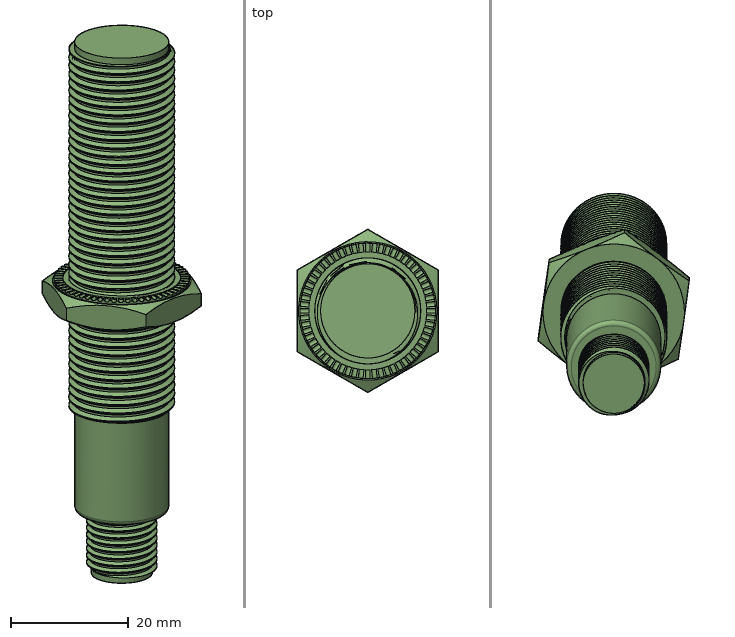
import cadquery as cq
import math

total_height = 96.2
end_tip_height = 1.2
connector_thread_top = 11.4
body_thread_bottom = 30.1
body_thread_top = total_height - end_tip_height

sleeve_diameter = 16.0
sleeve_fillet = 0.8
body_thread_diameter = 18.0
body_thread_pitch = 1.5
body_crest_height_at_x = 93.9

connector_tip_diameter = 10.4
connector_thread_diameter = 12.0
connector_thread_pitch = 1.25
connector_crest_height_at_x = 11.15

crest_fraction = 1 / 8
root_fraction = 1 / 4
flank_half_angle = 30.0
root_overlap = 0.1

nut_bottom = 48.4
nut_hex_height = 4.5
nut_across_flats = 24.0
nut_top_chamfer_diameter = 23.5
nut_bottom_chamfer_diameter = nut_across_flats
nut_chamfer_angle = 30.0
collar_height = 0.6
collar_diameter = 23.0
serration_count = 60
serration_inner_diameter = 20.0
serration_width = 0.8
serration_depth = 0.3


def cylinder(diameter, bottom, top):
    return cq.Workplane("XY").workplane(offset=bottom).circle(diameter / 2).extrude(top - bottom)


def threaded_rod(diameter, pitch, crest_height_at_x, bottom, top):
    """Right-handed thread on its root cylinder, with flat ends at the heights bottom and top."""
    flank_slope = math.tan(math.radians(flank_half_angle))
    crest_radius = diameter / 2
    crest_half_width = pitch * crest_fraction / 2
    root_half_width = pitch * (1 - root_fraction) / 2
    root_radius = crest_radius - (root_half_width - crest_half_width) / flank_slope
    base_radius = root_radius - root_overlap
    base_half_width = root_half_width + root_overlap * flank_slope

    turns_down = math.ceil((crest_height_at_x - bottom) / pitch) + 1
    start = crest_height_at_x - turns_down * pitch
    length = top - start + 2 * pitch
    helix = cq.Wire.makeHelix(pitch, length, crest_radius).translate(cq.Vector(0, 0, start))
    profile = (
        cq.Workplane("XZ")
        .moveTo(base_radius, start - base_half_width)
        .lineTo(crest_radius, start - crest_half_width)
        .lineTo(crest_radius, start + crest_half_width)
        .lineTo(base_radius, start + base_half_width)
        .close()
    )
    ridge = profile.sweep(cq.Workplane(helix), isFrenet=True)
    ridge = ridge.intersect(cylinder(2 * diameter, bottom, top))
    return cylinder(2 * root_radius, bottom, top).union(ridge)


def make_sensor():
    connector_tip = cylinder(connector_tip_diameter, 0, end_tip_height)
    connector_thread = threaded_rod(
        connector_thread_diameter, connector_thread_pitch, connector_crest_height_at_x,
        end_tip_height, connector_thread_top,
    )
    sleeve = cylinder(sleeve_diameter, connector_thread_top, body_thread_bottom)
    sleeve = sleeve.faces("<Z").edges().fillet(sleeve_fillet)
    body_thread = threaded_rod(
        body_thread_diameter, body_thread_pitch, body_crest_height_at_x,
        body_thread_bottom, body_thread_top,
    )
    sensing_tip = cylinder(sleeve_diameter, body_thread_top, total_height)
    return connector_tip.union(connector_thread).union(sleeve).union(body_thread).union(sensing_tip)


def make_nut():
    hex_top = nut_bottom + nut_hex_height
    collar_top = hex_top + collar_height
    corner_radius = nut_across_flats / math.sqrt(3)
    top_radius = nut_top_chamfer_diameter / 2
    bottom_radius = nut_bottom_chamfer_diameter / 2
    chamfer_slope = math.tan(math.radians(nut_chamfer_angle))
    top_drop = (corner_radius - top_radius) * chamfer_slope
    bottom_rise = (corner_radius - bottom_radius) * chamfer_slope

    hexagon = (
        cq.Workplane("XY")
        .workplane(offset=nut_bottom)
        .polygon(6, 2 * corner_radius)
        .extrude(nut_hex_height)
        .rotate((0, 0, 0), (0, 0, 1), 30)
    )
    corner_cones = (
        cq.Workplane("XZ")
        .moveTo(0, nut_bottom)
        .lineTo(bottom_radius, nut_bottom)
        .lineTo(corner_radius, nut_bottom + bottom_rise)
        .lineTo(corner_radius, hex_top - top_drop)
        .lineTo(top_radius, hex_top)
        .lineTo(0, hex_top)
        .close()
        .revolve(360, (0, 0, 0), (0, 1, 0))
    )
    nut = hexagon.intersect(corner_cones).union(cylinder(collar_diameter, hex_top, collar_top))
    nut = nut.cut(cylinder(body_thread_diameter, nut_bottom, collar_top))

    groove_length = (collar_diameter - serration_inner_diameter) / 2
    groove = (
        cq.Workplane("YZ")
        .workplane(offset=serration_inner_diameter / 2)
        .moveTo(-serration_width / 2, collar_top)
        .threePointArc((0, collar_top - serration_depth), (serration_width / 2, collar_top))
        .close()
        .extrude(groove_length)
    )
    grooves = [
        groove.rotate((0, 0, 0), (0, 0, 1), 360 / serration_count * index).val()
        for index in range(serration_count)
    ]
    return nut.cut(cq.Workplane(cq.Compound.makeCompound(grooves)))


sensor = make_sensor()
nut = make_nut()
result = cq.Compound.makeCompound([sensor.solids().val(), nut.solids().val()])